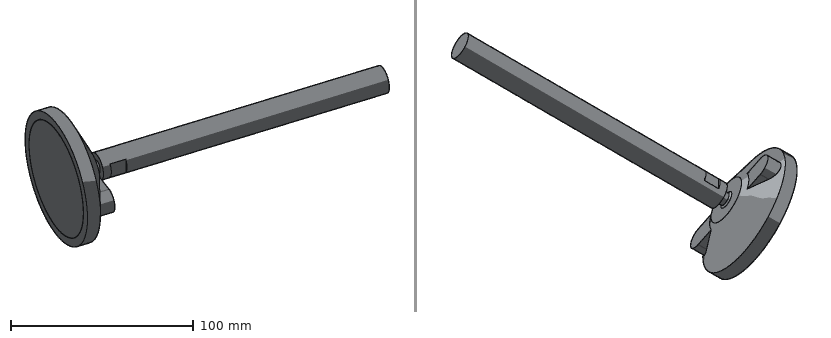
import cadquery as cq

total_length = 200.0

base_diameter = 78.0
rim_height = 8.0
cone_top_diameter = 28.8
cone_top_y = 20.0

pad_diameter = 67.5
pad_recess_diameter = 68.0
groove_depth = 2.0

lug_span = 73.2
lug_width = 14.5
lug_top_y = 18.0

neck_diameter = 7.8
flare_diameter = 10.5
flare_height = 0.8

stem_diameter = 16.0
stem_start_y = 25.0
flat_start_y = 29.8
flat_length = 9.5
across_flats = 13.0


def make_turned_body():
    """Base, neck and stem as one profile turned about Y."""
    profile = (
        cq.Workplane("XY")
        .lineTo(base_diameter / 2, 0)
        .lineTo(base_diameter / 2, rim_height)
        .lineTo(cone_top_diameter / 2, cone_top_y)
        .lineTo(flare_diameter / 2, cone_top_y)
        .lineTo(neck_diameter / 2, cone_top_y + flare_height)
        .lineTo(neck_diameter / 2, stem_start_y)
        .lineTo(stem_diameter / 2, stem_start_y)
        .lineTo(stem_diameter / 2, total_length)
        .lineTo(0, total_length)
        .close()
    )
    return profile.revolve(360, (0, 0, 0), (0, 1, 0))


def make_lugs():
    """One round-ended bar through the cone forms both lugs."""
    return (
        cq.Workplane("XZ", origin=(0, rim_height, 0))
        .slot2D(lug_span, lug_width)
        .extrude(rim_height - lug_top_y)
    )


def make_pad_groove():
    return (
        cq.Workplane("XZ")
        .circle(pad_recess_diameter / 2)
        .circle(pad_diameter / 2)
        .extrude(-groove_depth)
    )


def make_flat_cutter(side):
    """Block that cuts one wrench flat; side is -1 or 1 along X."""
    flat_middle_y = flat_start_y + flat_length / 2
    block_middle_x = side * (across_flats + stem_diameter) / 2
    return (
        cq.Workplane("XY")
        .box(stem_diameter, flat_length, stem_diameter)
        .translate((block_middle_x, flat_middle_y, 0))
    )


result = make_turned_body().union(make_lugs()).cut(make_pad_groove())
for side in (-1, 1):
    result = result.cut(make_flat_cutter(side))